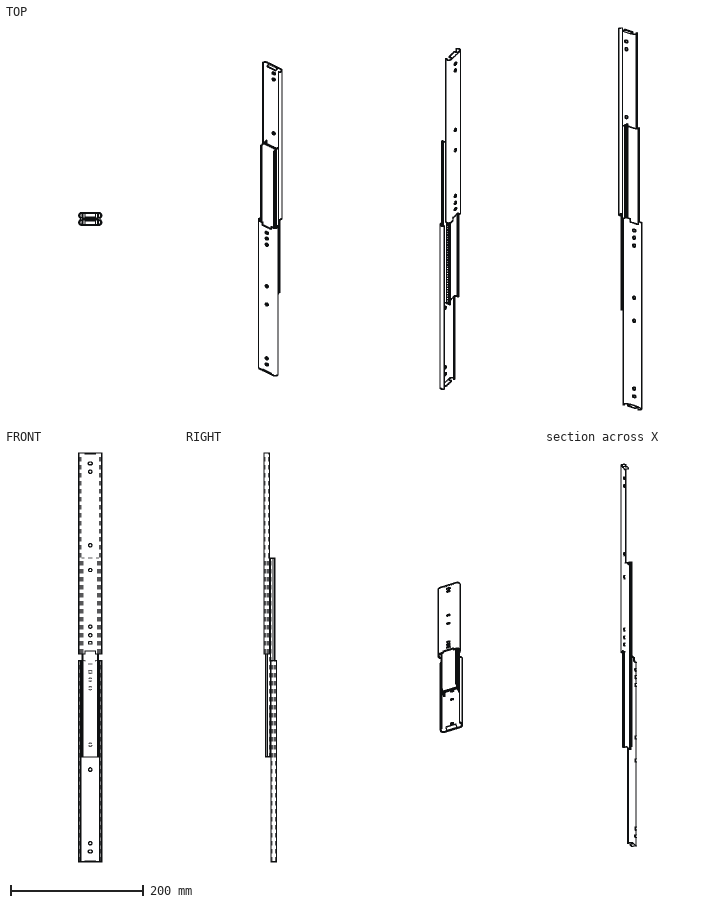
import cadquery as cq
import math

overall_width = 35.04
overall_depth = 19.56
overall_length = 619.8
outer_length = 305.0
inner_length = 301.0
sheet = 1.5

channel_depth = overall_depth / 2
lip_clearance = 0.7
race_radius = (channel_depth - lip_clearance) / 2
race_center_y = race_radius - channel_depth
race_center_x = overall_width / 2 - race_radius
race_half_angle = 60.0
lip_angle = 71.0
shoulder_flattening = 0.985

outer_end_z = overall_length / 2
mating_end_z = outer_end_z - outer_length
tab_width = 16.0
tab_reach = 7.2
cutout_depth = 5.0

hole_diameter = 5.0
hole_distances = (28.5, 139.9, 177.6, 263.3, 276.2)
slot_length = 6.0
slot_height = 4.0
slot_distances = (15.9, 287.9)

inner_half_width = 12.6
inner_depth = 7.4
corner_radius = 2.6
groove_half_height = 1.0
groove_depth = 0.8


def mirrored(point):
    return (-point[0], point[1])


def race_point(radius, angle):
    """Point on the right-hand ball race, with the angle in degrees up from +X."""
    angle = math.radians(angle)
    return (race_center_x + radius * math.cos(angle), race_center_y + radius * math.sin(angle))


def side_points(radius):
    """Points of one face of the right-hand side: shoulder arc, race arc, then a straight lip."""
    return [
        race_point(radius, -90),
        race_point(radius * shoulder_flattening, -(90 + race_half_angle) / 2),
        race_point(radius, -race_half_angle),
        race_point(radius, 0),
        race_point(radius, race_half_angle),
        race_point(radius, lip_angle),
    ]


def side_upward(outline, points):
    """Continue the outline along one face, from the web to the lip end."""
    outline = outline.threePointArc(points[1], points[2]).threePointArc(points[3], points[4])
    return outline.lineTo(*points[5])


def side_downward(outline, points):
    """Continue the outline along one face, from the lip end to the web."""
    outline = outline.lineTo(*points[4])
    return outline.threePointArc(points[3], points[2]).threePointArc(points[1], points[0])


def outer_section():
    outside = side_points(race_radius)
    inside = side_points(race_radius - sheet)
    left_outside = [mirrored(point) for point in outside]
    left_inside = [mirrored(point) for point in inside]
    outline = cq.Workplane("XY", origin=(0, 0, mating_end_z))
    outline = outline.moveTo(*left_outside[0]).lineTo(*outside[0])
    outline = side_upward(outline, outside).lineTo(*inside[-1])
    outline = side_downward(outline, inside).lineTo(*left_inside[0])
    outline = side_upward(outline, left_inside).lineTo(*left_outside[-1])
    return side_downward(outline, left_outside).close()


def web_block(width, depth, height, base_z):
    """Block centered on the web, reaching into the channel from its outer face."""
    block = cq.Workplane("XY").box(width, depth, height, centered=(True, False, False))
    return block.translate((0, -channel_depth, base_z))


def web_plane():
    """Plane on the inner face of the outer web; extruding from it runs through the web."""
    return cq.Workplane("XZ", origin=(0, sheet - channel_depth, outer_end_z))


def outer_channel():
    """Channel that opens towards +Y, with its tab at the top end."""
    tab = web_block(tab_width, tab_reach, sheet, outer_end_z - sheet)
    cutout = web_block(tab_width, sheet, cutout_depth, mating_end_z)
    holes = web_plane().pushPoints([(0, -d) for d in hole_distances])
    holes = holes.circle(hole_diameter / 2).extrude(sheet)
    slots = web_plane().pushPoints([(0, -d) for d in slot_distances])
    slots = slots.slot2D(slot_length, slot_height).extrude(sheet)
    return outer_section().extrude(outer_length).union(tab).cut(cutout).cut(holes).cut(slots)


def inner_channel():
    """Channel with its web on the mid plane and its flanges pointing towards -Y."""
    bend_x = inner_half_width - corner_radius
    flange_inside = inner_half_width - sheet
    groove_top = race_center_y + groove_half_height
    groove_bottom = race_center_y - groove_half_height
    blank = (
        cq.Workplane("XY", origin=(0, 0, -inner_length / 2))
        .moveTo(-bend_x, 0)
        .lineTo(bend_x, 0)
        .radiusArc((inner_half_width, -corner_radius), corner_radius)
        .lineTo(inner_half_width, groove_top)
        .threePointArc((inner_half_width - groove_depth, race_center_y), (inner_half_width, groove_bottom))
        .lineTo(inner_half_width, -inner_depth)
        .lineTo(flange_inside, -inner_depth)
        .lineTo(flange_inside, -corner_radius)
        .radiusArc((bend_x, -sheet), sheet - corner_radius)
        .lineTo(-bend_x, -sheet)
        .radiusArc((-flange_inside, -corner_radius), sheet - corner_radius)
        .lineTo(-flange_inside, -inner_depth)
        .lineTo(-inner_half_width, -inner_depth)
        .lineTo(-inner_half_width, groove_bottom)
        .threePointArc((groove_depth - inner_half_width, race_center_y), (-inner_half_width, groove_top))
        .lineTo(-inner_half_width, -corner_radius)
        .radiusArc((-bend_x, 0), corner_radius)
        .close()
    )
    return blank.extrude(inner_length)


def turned(body):
    """Copy given a half turn about the X axis."""
    return body.rotate((0, 0, 0), (1, 0, 0), 180)


outer = outer_channel()
inner = inner_channel()
bodies = [outer, turned(outer), inner, turned(inner)]
result = cq.Compound.makeCompound([body.val() for body in bodies])